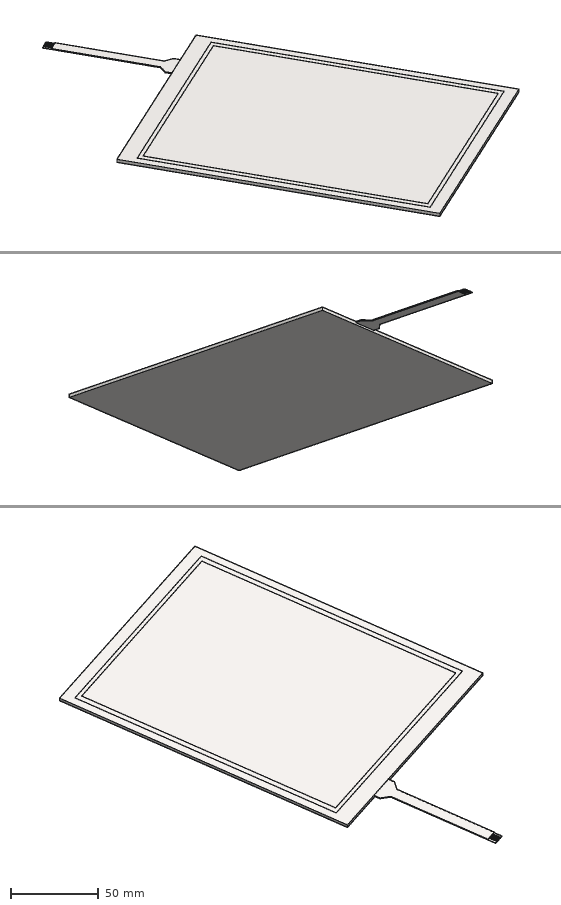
import cadquery as cq

total_length = 274.0
panel_width = 146.0
panel_thickness = 2.1

tail_length = 79.5
panel_left = tail_length - total_length / 2
panel_right = total_length / 2
panel_back = panel_width / 2
panel_top = panel_thickness / 2

border_left_inset = 10.7
border_right_inset = 7.5
border_side_inset = 5.0
border_end_width = 2.5
border_side_width = 3.3
border_depth = 0.1

tail_width = 6.8
tail_thickness = 0.7
tail_drop = 0.15
tail_center_y = panel_back - 36.5
tail_top = panel_top - tail_drop
tail_bottom = tail_top - tail_thickness
root_width = 15.5
root_length = 4.0
flare_length = 4.5

tip_length = 5.2
tip_thickness = 0.3
finger_count = 4
finger_pitch = 1.0
finger_width = 0.68
finger_height = 0.08


def box_between(x_min, x_max, y_min, y_max, z_min, z_max):
    """Axis-aligned block given by its limits."""
    block = cq.Workplane("XY").box(x_max - x_min, y_max - y_min, z_max - z_min, centered=False)
    return block.translate((x_min, y_min, z_min))


def active_area_block(end_offset, side_offset):
    """Shallow block below the panel surface, shrunk by the given offsets."""
    half_width = panel_back - border_side_inset - side_offset
    return box_between(
        panel_left + border_left_inset + end_offset,
        panel_right - border_right_inset - end_offset,
        -half_width,
        half_width,
        panel_top - border_depth,
        panel_top,
    )


def make_panel():
    """Rectangular plate with the border groove in its upper face."""
    plate = box_between(panel_left, panel_right, -panel_back, panel_back, -panel_top, panel_top)
    groove = active_area_block(0, 0).cut(active_area_block(border_end_width, border_side_width))
    return plate.cut(groove)


def make_tail():
    """Thin strip that flares out to a wider root at the panel."""
    tip_x = -total_length / 2
    root_x = panel_left - root_length
    neck_x = root_x - flare_length
    half_tail = tail_width / 2
    half_root = root_width / 2
    outline = [
        (tip_x, -half_tail),
        (neck_x, -half_tail),
        (root_x, -half_root),
        (panel_left, -half_root),
        (panel_left, half_root),
        (root_x, half_root),
        (neck_x, half_tail),
        (tip_x, half_tail),
    ]
    strip = cq.Workplane("XY").polyline(outline).close().extrude(tail_thickness)
    return strip.translate((0, tail_center_y, tail_bottom))


def add_contacts(tail):
    """Step the tip down and add a row of contact fingers on it."""
    tip_start = -total_length / 2
    tip_end = tip_start + tip_length
    tip_top = tail_bottom + tip_thickness
    half_tail = tail_width / 2
    tail = tail.cut(
        box_between(
            tip_start, tip_end, tail_center_y - half_tail, tail_center_y + half_tail, tip_top, tail_top
        )
    )
    for index in range(finger_count):
        center_y = tail_center_y + (index - (finger_count - 1) / 2) * finger_pitch
        finger = box_between(
            tip_start,
            tip_end,
            center_y - finger_width / 2,
            center_y + finger_width / 2,
            tail_bottom,
            tip_top + finger_height,
        )
        tail = tail.union(finger)
    return tail


result = make_panel().union(add_contacts(make_tail()))